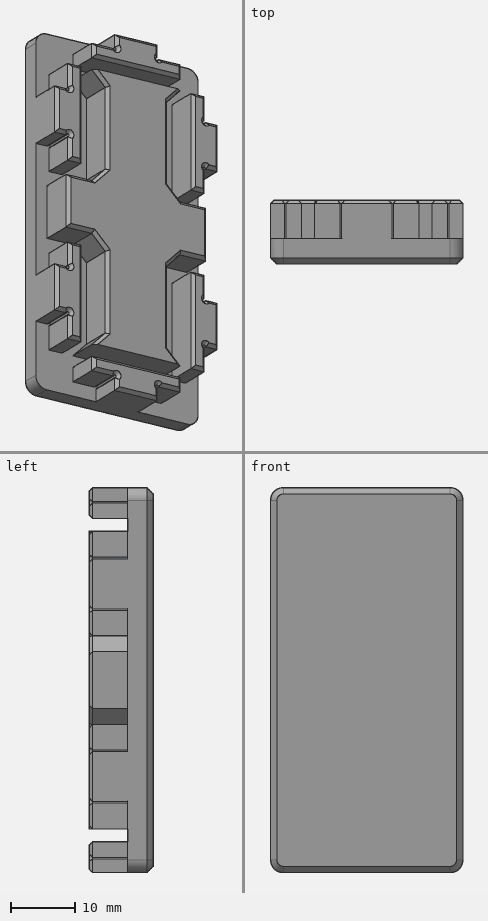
import cadquery as cq

WIDTH = 30.0
HEIGHT = 60.0
DEPTH = 10.0
PLATE_THICKNESS = 4.0
CORNER_RADIUS = 2.0
FRONT_CHAMFER = 1.0

WALL_INSET = 2.4
WALL_THICKNESS = 2.45
BACK_CHAMFER = 0.55
SIDE_WALL_TOP = 23.2
SIDE_WALL_BOTTOM = 6.9
END_WALL_HALF_WIDTH = 8.15
POST_WIDTH = 7.8
SIDE_POST_CENTER = 15.0
RELIEF_RADIUS = 0.25

BAR_HALF_LENGTH = 12.9
BAR_HALF_HEIGHT = 4.45
WAIST_DEPTH = 2.5
CORE_OVERLAP = 2 * BACK_CHAMFER

FRONT_Y = -DEPTH / 2
PLATE_BACK_Y = FRONT_Y + PLATE_THICKNESS
FRAME_DEPTH = DEPTH - PLATE_THICKNESS
WALL_OUTER_X = WIDTH / 2 - WALL_INSET
WALL_OUTER_Z = HEIGHT / 2 - WALL_INSET
POST_DEPTH = WALL_INSET + WALL_THICKNESS
SIGNS = (-1, 1)


def plate_back():
    """Workplane on the back of the plate: local axes are X and Z, negative extrusion goes toward +Y."""
    return cq.Workplane("XZ", origin=(0, PLATE_BACK_Y, 0))


def frame_block(width, height, x, z):
    """Rectangular block standing on the back of the plate, centred at (x, z)."""
    return plate_back().center(x, z).rect(width, height).extrude(-FRAME_DEPTH)


def relief(x, z):
    """Round relief along an inside corner between a post and a wall."""
    return plate_back().center(x, z).circle(RELIEF_RADIUS).extrude(-FRAME_DEPTH)


def chamfer_back(block):
    """Chamfer the whole outline of a block's back face."""
    return block.faces(">Y").edges().chamfer(BACK_CHAMFER)


def cover_plate():
    plate = plate_back().rect(WIDTH, HEIGHT).extrude(PLATE_THICKNESS)
    return plate.edges("|Y").fillet(CORNER_RADIUS).faces("<Y").edges().chamfer(FRONT_CHAMFER)


def side_clip(side, end):
    """Side wall length with a post that reaches out to the side of the plate."""
    wall_x = side * (WALL_OUTER_X - WALL_THICKNESS / 2)
    wall_z = end * (SIDE_WALL_TOP + SIDE_WALL_BOTTOM) / 2
    post_x = side * (WIDTH - POST_DEPTH) / 2
    post_z = end * SIDE_POST_CENTER
    clip = frame_block(WALL_THICKNESS, SIDE_WALL_TOP - SIDE_WALL_BOTTOM, wall_x, wall_z)
    clip = clip.union(frame_block(POST_DEPTH, POST_WIDTH, post_x, post_z))
    for step in SIGNS:
        clip = clip.cut(relief(side * WALL_OUTER_X, post_z + step * POST_WIDTH / 2))
    return chamfer_back(clip)


def end_clip(end):
    """End wall with a central post that reaches out to the end of the plate."""
    wall_z = end * (WALL_OUTER_Z - WALL_THICKNESS / 2)
    post_z = end * (HEIGHT - POST_DEPTH) / 2
    clip = frame_block(2 * END_WALL_HALF_WIDTH, WALL_THICKNESS, 0, wall_z)
    clip = clip.union(frame_block(POST_WIDTH, POST_DEPTH, 0, post_z))
    for step in SIGNS:
        clip = clip.cut(relief(step * POST_WIDTH / 2, end * WALL_OUTER_Z))
    return chamfer_back(clip)


def cross_bar():
    return chamfer_back(frame_block(2 * BAR_HALF_LENGTH, 2 * BAR_HALF_HEIGHT, 0, 0))


def waisted_core(end):
    """Core necked in at 45 degrees on both sides, its lower slopes running on into the bar."""
    shoulder = END_WALL_HALF_WIDTH
    waist = shoulder - WAIST_DEPTH
    right_side = [
        (shoulder + CORE_OVERLAP, end * (BAR_HALF_HEIGHT - CORE_OVERLAP)),
        (waist, end * (BAR_HALF_HEIGHT + WAIST_DEPTH)),
        (waist, end * (SIDE_WALL_TOP - WAIST_DEPTH)),
        (shoulder, end * SIDE_WALL_TOP),
    ]
    left_side = [(-x, z) for x, z in reversed(right_side)]
    core = plate_back().polyline(right_side + left_side).close().extrude(-FRAME_DEPTH)
    return core.faces(">Y").edges("not |X").chamfer(BACK_CHAMFER)


result = cover_plate().union(cross_bar())
for end in SIGNS:
    result = result.union(waisted_core(end)).union(end_clip(end))
    for side in SIGNS:
        result = result.union(side_clip(side, end))